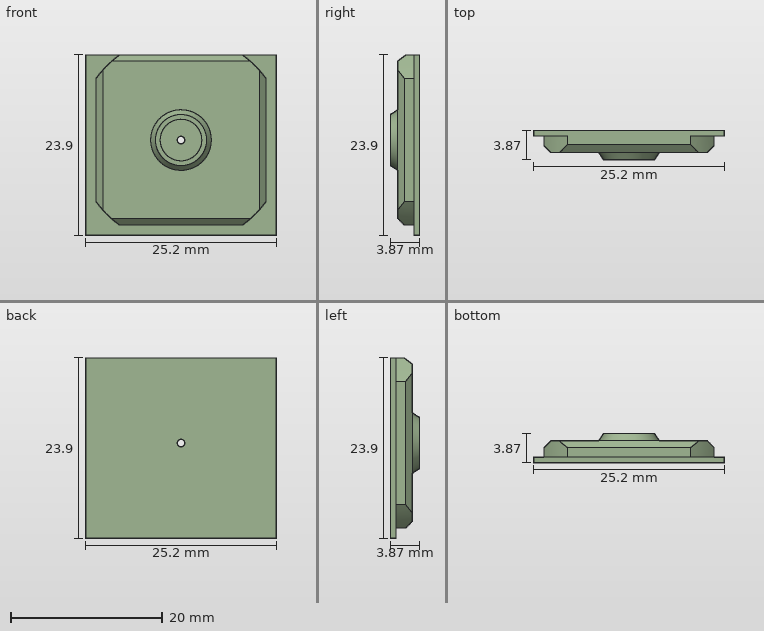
import cadquery as cq

plate_width = 25.25
plate_thickness = 0.75
block_half = 11.25
block_height = 2.17
block_corner_radius = 13.9
edge_chamfer = 0.9

top_slope_height = 1.09
top_slope_drop = 0.83
facet_break_height = 0.45
facet_break_drop = 0.48

boss_height = 0.95
boss_base_radius = 4.01
boss_tip_radius = 3.38
bore_radius = 2.75
bore_depth = 3.33
pinhole_radius = 0.48

plate_bottom = -plate_width / 2
plate_top = block_half
face_depth = plate_thickness + block_height
tip_depth = face_depth + boss_height


def axial_cylinder(radius, start_depth, end_depth):
    """Cylinder on the central axis between two depths toward -Y."""
    return (
        cq.Workplane("XZ", origin=(0, -start_depth, 0))
        .circle(radius)
        .extrude(end_depth - start_depth)
    )


def make_plate():
    return (
        cq.Workplane("XZ")
        .center(0, (plate_top + plate_bottom) / 2)
        .rect(plate_width, plate_top - plate_bottom)
        .extrude(plate_thickness)
    )


def make_block():
    """Square block with bevelled face edges and corners trimmed to a circle."""
    block = (
        cq.Workplane("XZ", origin=(0, -plate_thickness, 0))
        .rect(2 * block_half, 2 * block_half)
        .extrude(block_height)
    )
    front_face = block.faces("<Y")
    bevelled = front_face.edges("<X or >X or <Z").chamfer(edge_chamfer)

    side_profile = (
        cq.Workplane("YZ")
        .moveTo(-plate_thickness, -block_half)
        .lineTo(-plate_thickness, block_half)
        .lineTo(top_slope_height - face_depth, block_half)
        .lineTo(facet_break_height - face_depth, block_half - facet_break_drop)
        .lineTo(-face_depth, block_half - top_slope_drop)
        .lineTo(-face_depth, -block_half)
        .close()
        .extrude(block_half, both=True)
    )
    corner_trim = axial_cylinder(block_corner_radius, plate_thickness, face_depth)
    return bevelled.intersect(side_profile).intersect(corner_trim)


def make_boss():
    """Tapered boss standing on the block face."""
    return (
        cq.Workplane("XY")
        .moveTo(0, -face_depth)
        .lineTo(boss_base_radius, -face_depth)
        .lineTo(boss_tip_radius, -tip_depth)
        .lineTo(0, -tip_depth)
        .close()
        .revolve(360, (0, 0, 0), (0, 1, 0))
    )


bore = axial_cylinder(bore_radius, tip_depth - bore_depth, tip_depth)
pinhole = axial_cylinder(pinhole_radius, 0, tip_depth)

result = make_plate().union(make_block()).union(make_boss()).cut(bore).cut(pinhole)